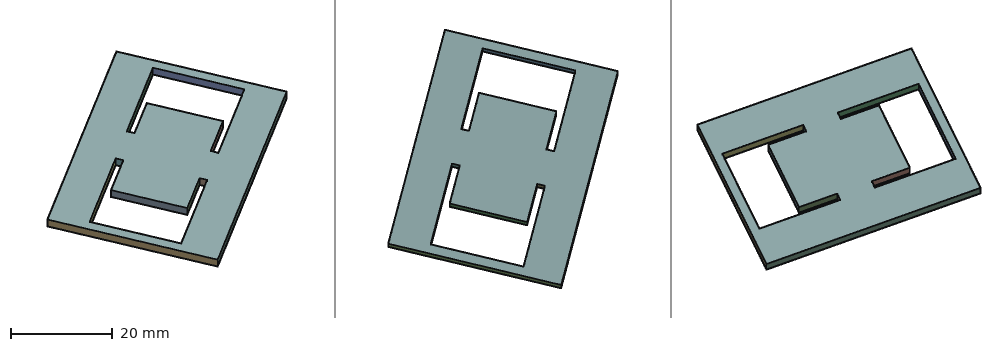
import cadquery as cq

plate_width = 35.0
plate_length = 45.6
plate_thickness = 2.1

window_width = 18.8
end_border = 1.9
bridge_length = 7.4

pad_width = 15.7
pad_length = 23.6

window_length = (plate_length - bridge_length) / 2 - end_border
window_offset = (bridge_length + window_length) / 2


def block(width, length):
    """Full-thickness block centred on the origin."""
    return cq.Workplane("XY").box(width, length, plate_thickness)


plate = block(plate_width, plate_length)

for side in (-1, 1):
    window = block(window_width, window_length).translate((0, side * window_offset, 0))
    plate = plate.cut(window)

result = plate.union(block(pad_width, pad_length))